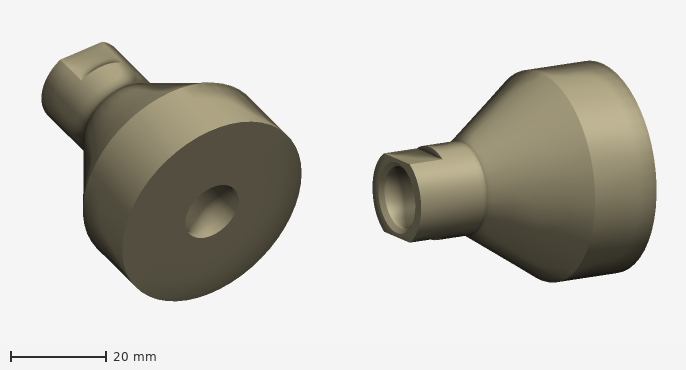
import cadquery as cq

total_length = 50.0
large_diameter = 45.0
neck_diameter = 20.0
rim_length = 15.0
neck_length = 16.0

flat_length = 8.0
across_flats = 17.0

bore_diameter = 13.3
entry_diameter = 15.2
entry_depth = (entry_diameter - bore_diameter) / 2

neck_end = -total_length / 2
rim_end = total_length / 2
cone_start = neck_end + neck_length
cone_end = rim_end - rim_length


def revolved_body():
    """Neck, cone, rim and chamfered bore as one revolved section."""
    return (
        cq.Workplane("XY")
        .moveTo(neck_end, entry_diameter / 2)
        .lineTo(neck_end, neck_diameter / 2)
        .lineTo(cone_start, neck_diameter / 2)
        .lineTo(cone_end, large_diameter / 2)
        .lineTo(rim_end, large_diameter / 2)
        .lineTo(rim_end, bore_diameter / 2)
        .lineTo(neck_end + entry_depth, bore_diameter / 2)
        .close()
        .revolve(360, (0, 0, 0), (1, 0, 0))
    )


def flat_cutter(side):
    """Block that removes the neck beyond one flat; side is +1 or -1 along Z."""
    cut_height = neck_diameter / 2
    cut_center = (neck_end + flat_length / 2, 0, side * (across_flats + cut_height) / 2)
    return cq.Workplane("XY").box(flat_length, neck_diameter, cut_height).translate(cut_center)


result = revolved_body()
for side in (1, -1):
    result = result.cut(flat_cutter(side))